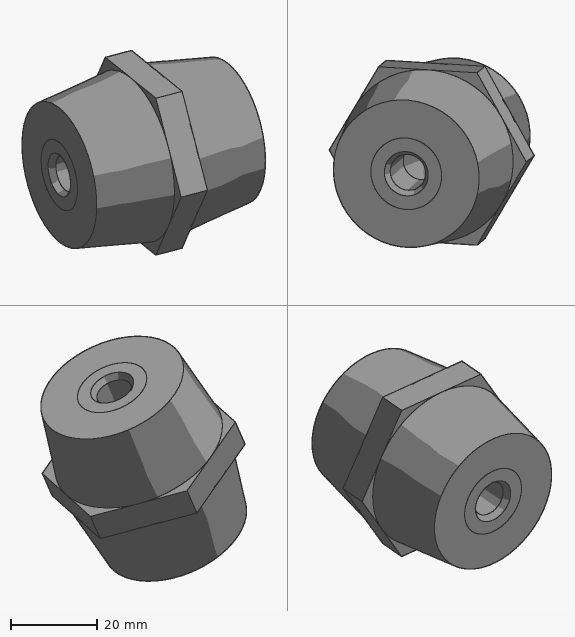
import cadquery as cq
import math


HEX_CORNERS = 47.35
HEX_FLATS = HEX_CORNERS * math.sqrt(3) / 2
HEX_THICKNESS = 7.0

LENGTH = 45.0
END_DIAMETER = 35.05
HALF_LENGTH = LENGTH / 2
HALF_HEX = HEX_THICKNESS / 2

INSERT_DIAMETER = 17.0
INSERT_DEPTH = 18.0
HOLE_DIAMETER = 8.5
MOUTH_DIAMETER = 10.5
MOUTH_DEPTH = 1.5
HOLE_DEPTH = 13.0
DRILL_POINT_ANGLE = 118.0

HOLE_RADIUS = HOLE_DIAMETER / 2
MOUTH_RADIUS = MOUTH_DIAMETER / 2
DRILL_POINT_DEPTH = HOLE_RADIUS / math.tan(math.radians(DRILL_POINT_ANGLE / 2))

END_SIDES = (-1, 1)


def revolve_about_y(profile):
    """Revolve a closed (radius, y) profile one full turn about the Y axis."""
    return cq.Workplane("XY").polyline(profile).close().revolve(360, (0, 0, 0), (0, 1, 0))


def make_insert_pocket(side):
    """Blind cylinder that an insert fills, at the -Y (-1) or +Y (1) end."""
    outer = side * HALF_LENGTH
    inner = side * (HALF_LENGTH - INSERT_DEPTH)
    radius = INSERT_DIAMETER / 2
    return revolve_about_y([(0, outer), (radius, outer), (radius, inner), (0, inner)])


def make_housing():
    """Hexagonal collar with a cone tapering to each end, pocketed for the inserts."""
    collar = (
        cq.Workplane("XZ")
        .polygon(6, HEX_CORNERS)
        .extrude(HALF_HEX, both=True)
    )
    tapered_body = revolve_about_y([
        (0, -HALF_LENGTH),
        (END_DIAMETER / 2, -HALF_LENGTH),
        (HEX_FLATS / 2, -HALF_HEX),
        (HEX_FLATS / 2, HALF_HEX),
        (END_DIAMETER / 2, HALF_LENGTH),
        (0, HALF_LENGTH),
    ])
    housing = collar.union(tapered_body)
    for side in END_SIDES:
        housing = housing.cut(make_insert_pocket(side))
    return housing


def make_insert(side):
    """Round insert with a countersunk blind hole ending in a drill point."""
    depths_and_radii = [
        (0, INSERT_DIAMETER / 2),
        (INSERT_DEPTH, INSERT_DIAMETER / 2),
        (INSERT_DEPTH, 0),
        (HOLE_DEPTH + DRILL_POINT_DEPTH, 0),
        (HOLE_DEPTH, HOLE_RADIUS),
        (MOUTH_DEPTH, HOLE_RADIUS),
        (0, MOUTH_RADIUS),
    ]
    return revolve_about_y([
        (radius, side * (HALF_LENGTH - depth)) for depth, radius in depths_and_radii
    ])


housing = make_housing()
inserts = [make_insert(side) for side in END_SIDES]

result = cq.Compound.makeCompound([housing.val(), *[insert.val() for insert in inserts]])